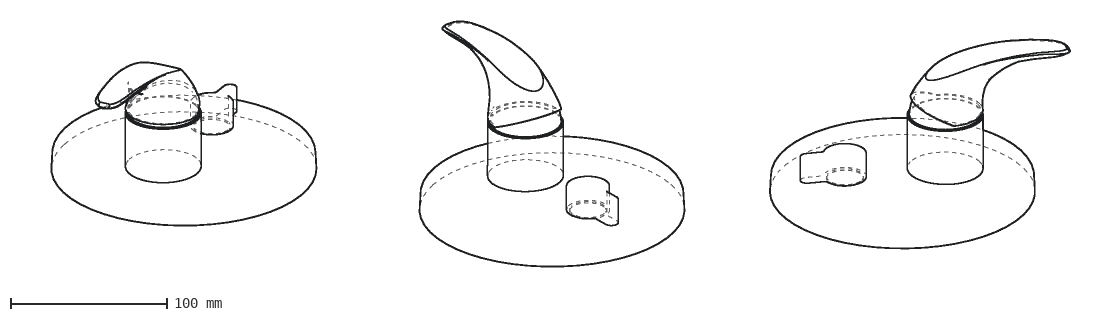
import cadquery as cq
import math

plate_radius = 85.0
plate_top_radius = 84.4
plate_edge_height = 12.6
plate_crown_height = 13.8
plate_edge_round = 1.7

body_y = -28.0
body_radius = 24.3
body_top = 52.0
body_chamfer = 0.5
neck_radius = 23.0
neck_top = 70.0

lever_bottom = 54.6
lever_top = 94.1
skirt_back = (-5.8, 64.5)
hub_back_top = (-15.4, 78.5)
lever_tip = (-109.5, 89.5)
trim_width = 2 * plate_radius

knob_y = 38.0
knob_radius = 13.8
knob_stem_diameter = 23.7
knob_top = 31.7
knob_bottom = 14.5
knob_handle_width = 9.0
knob_handle_end = 67.0
knob_corner_fillet = 2.3
knob_edge_fillet = 0.8


def make_plate():
    dome_edge = plate_top_radius - plate_edge_round
    dome_rise = plate_crown_height - plate_edge_height
    dome_radius = (dome_edge**2 + dome_rise**2) / (2 * dome_rise)
    profile = (
        cq.Workplane("XZ")
        .lineTo(plate_radius, 0)
        .lineTo(plate_top_radius, plate_edge_height - plate_edge_round)
        .radiusArc((dome_edge, plate_edge_height), -plate_edge_round)
        .radiusArc((0, plate_crown_height), -dome_radius)
        .close()
    )
    return profile.revolve(360, (0, 0, 0), (0, 1, 0))


def make_body():
    cylinder = cq.Workplane("XY").center(0, body_y).circle(body_radius).extrude(body_top)
    cylinder = cylinder.faces(">Z").chamfer(body_chamfer)
    ball = cq.Workplane("XY").sphere(neck_radius).translate((0, body_y, body_top))
    neck_limit = cq.Workplane("XY").center(0, body_y).circle(body_radius).extrude(neck_top)
    return cylinder.union(ball.intersect(neck_limit))


def lever_section(upper, lower, half_width, side_depth):
    """Closed two-arc section through an upper and a lower (y, z) point on the middle plane.

    side_depth is the share of the section height, from the upper point, at which it is widest.
    """
    side_y = upper[0] + side_depth * (lower[0] - upper[0])
    side_z = upper[1] + side_depth * (lower[1] - upper[1])
    left = cq.Vector(-half_width, side_y, side_z)
    right = cq.Vector(half_width, side_y, side_z)
    upper_arc = cq.Edge.makeThreePointArc(left, cq.Vector(0, *upper), right)
    lower_arc = cq.Edge.makeThreePointArc(right, cq.Vector(0, *lower), left)
    return cq.Wire.assembleEdges([upper_arc, lower_arc])


def make_lever():
    body_back = body_y + body_radius
    body_front = body_y - body_radius
    sections = [
        lever_section((body_back, lever_bottom), (body_front, lever_bottom), body_radius, 0.5),
        lever_section(skirt_back, (body_front, 62.2), 21.4, 0.5),
        lever_section(hub_back_top, (-54.8, 72.7), 17.7, 0.42),
        lever_section((-36.5, 94.5), (-61.8, 79.5), 13.8, 0.36),
        lever_section((-60.7, 98.0), (-72.3, 84.5), 12.8, 0.38),
        lever_section((-81.3, 98.4), (-85.5, 86.1), 11.5, 0.43),
        lever_section((-99.7, 96.0), (-101.1, 86.1), 9.5, 0.48),
        lever_section((-107.3, 92.2), (-107.3, 87.9), 6.5, 0.5),
        lever_section((lever_tip[0], 90.2), (lever_tip[0], 88.7), 3.0, 0.5),
    ]
    blank = cq.Workplane(cq.Solid.makeLoft(sections))
    skirt_outside = (2 * skirt_back[0] - body_y, 2 * skirt_back[1] - lever_bottom)
    trim = (
        cq.Workplane("YZ")
        .moveTo(body_y, lever_bottom)
        .lineTo(*skirt_outside)
        .lineTo(skirt_outside[0], hub_back_top[1])
        .lineTo(*hub_back_top)
        .spline([(-40.2, 88.7), (-79.7, lever_top), (-107.3, 91.5)], includeCurrent=True)
        .lineTo(*lever_tip)
        .lineTo(lever_tip[0], lever_bottom)
        .close()
        .extrude(trim_width / 2, both=True)
    )
    return blank.intersect(trim)


def make_knob():
    handle_radius = knob_handle_width / 2
    knob_height = knob_top - knob_bottom
    handle_round_y = knob_handle_end - handle_radius
    boss = cq.Workplane("XY", origin=(0, knob_y, knob_bottom)).circle(knob_radius).extrude(knob_height)
    handle = (
        cq.Workplane("XY", origin=(0, 0, knob_bottom))
        .moveTo(-handle_radius, knob_y)
        .lineTo(-handle_radius, handle_round_y)
        .threePointArc((0, knob_handle_end), (handle_radius, handle_round_y))
        .lineTo(handle_radius, knob_y)
        .close()
        .extrude(knob_height)
    )
    corner_margin = 1.0
    joint_y = knob_y + math.sqrt(knob_radius**2 - handle_radius**2)
    knob = boss.union(handle)
    joints = cq.selectors.BoxSelector(
        (-knob_handle_width, joint_y - corner_margin, knob_bottom),
        (knob_handle_width, joint_y + corner_margin, knob_top),
    )
    knob = knob.edges("|Z").edges(joints).fillet(knob_corner_fillet)
    knob = knob.faces(">Z").edges().fillet(knob_edge_fillet)
    stem = cq.Workplane("XY").center(0, knob_y).circle(knob_stem_diameter / 2).extrude(knob_bottom)
    return knob.union(stem)


result = make_plate().union(make_body()).union(make_knob()).union(make_lever())